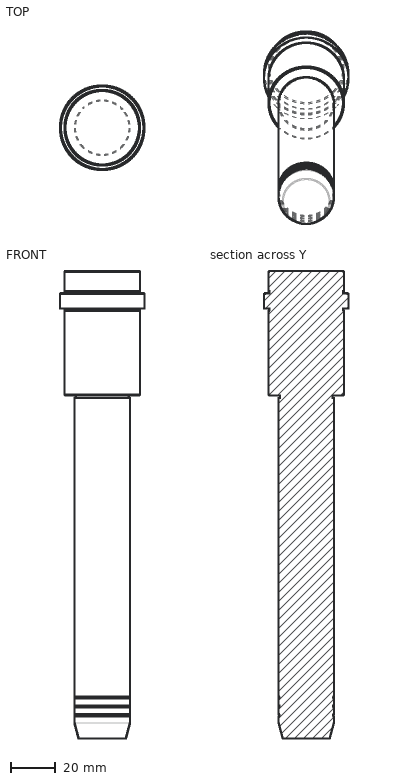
import cadquery as cq
import math

total_length = 210.0
shaft_diameter = 25.0
body_diameter = 34.0

collar_diameter = 38.0
collar_thickness = 7.0
head_length = 10.0
collar_chamfer = 0.5

head_chamfer = 0.5
body_length = 56.0
body_chamfer = 0.5

collar_relief_width = 1.0
collar_relief_depth = 0.3
collar_relief_slope = 0.3

neck_length = 1.0
neck_depth = 0.5

groove_count = 3
groove_width = 1.0
groove_depth = 0.4
groove_pitch = 4.0
first_groove_height = 10.5

tip_length = 7.0
tip_angle = 15.0
tip_rim_radius = 0.5

shaft_radius = shaft_diameter / 2
body_radius = body_diameter / 2
collar_radius = collar_diameter / 2
tip_radius = shaft_radius - tip_length * math.tan(math.radians(tip_angle))
collar_top = total_length - head_length
collar_bottom = collar_top - collar_thickness
body_bottom = total_length - body_length


def cylinder(diameter, bottom, top):
    """Solid cylinder on the Z axis between two heights."""
    return cq.Workplane("XY").workplane(offset=bottom).circle(diameter / 2).extrude(top - bottom)


def collar_relief(side):
    """Cutter for the relief above (side = 1) or below (side = -1) the collar."""
    collar_face = collar_top if side > 0 else collar_bottom
    floor_radius = body_radius - collar_relief_depth
    floor_end = collar_face + side * (collar_relief_width - collar_relief_slope)
    relief_end = collar_face + side * collar_relief_width
    section = (
        cq.Workplane("XZ")
        .moveTo(floor_radius, collar_face)
        .lineTo(floor_radius, floor_end)
        .lineTo(body_radius, relief_end)
        .lineTo(collar_radius, relief_end)
        .lineTo(collar_radius, collar_face)
        .close()
    )
    return section.revolve(360, (0, 0, 0), (0, 1, 0))


def lubrication_groove(height):
    """Ring of triangular section that cuts a V-shaped groove around the shaft."""
    half_width = groove_width / 2
    section = (
        cq.Workplane("XZ")
        .moveTo(shaft_radius, height - half_width)
        .lineTo(shaft_radius - groove_depth, height)
        .lineTo(shaft_radius, height + half_width)
        .close()
    )
    return section.revolve(360, (0, 0, 0), (0, 1, 0))


def make_shaft():
    """Grooved shaft with a conical lead-in below and a narrow neck above."""
    neck_radius = shaft_radius - neck_depth
    neck_bottom = body_bottom - neck_length
    profile = (
        cq.Workplane("XZ")
        .moveTo(0, 0)
        .lineTo(tip_radius, 0)
        .lineTo(shaft_radius, tip_length)
        .lineTo(shaft_radius, neck_bottom)
        .lineTo(neck_radius, neck_bottom)
        .lineTo(neck_radius, body_bottom)
        .lineTo(0, body_bottom)
        .close()
    )
    shaft = profile.revolve(360, (0, 0, 0), (0, 1, 0))
    for index in range(groove_count):
        shaft = shaft.cut(lubrication_groove(first_groove_height + index * groove_pitch))
    return shaft.faces("<Z").fillet(tip_rim_radius)


def make_body():
    """Thick upper body with chamfered ends and a relief groove on each side of the collar."""
    body = cylinder(body_diameter, body_bottom, total_length)
    body = body.faces("<Z").chamfer(body_chamfer)
    body = body.faces(">Z").chamfer(head_chamfer)
    for side in (-1, 1):
        body = body.cut(collar_relief(side))
    return body


def make_collar():
    """Collar with a chamfered upper edge."""
    collar = cylinder(collar_diameter, collar_bottom, collar_top)
    return collar.faces(">Z").chamfer(collar_chamfer)


result = make_shaft().union(make_body()).union(make_collar())